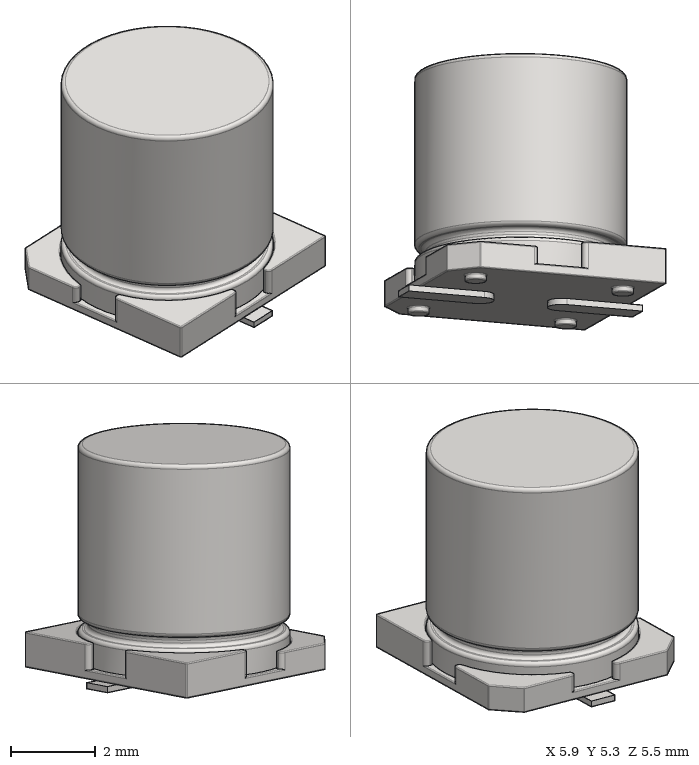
import cadquery as cq

lead_span = 5.9
base_width = 5.3
total_height = 5.5

can_radius = 5.0 / 2
can_top_fillet = 0.1
groove_radius = 4.5 / 2
groove_mid_z = 1.205
groove_flat = 0.07
groove_root_fillet = 0.1
groove_lip_fillet = 0.1

base_bottom_z = 0.15
floor_z = 0.365
pocket_radius = 2.52
low_corner_z = 0.785
high_corner_z = 1.0
corner_chamfer = 0.61
notch_width = 1.14
notch_outer_fillet = 0.11
notch_inner_fillet = 0.07
edge_fillet = 0.0265

lead_width = 0.67
lead_gap = 1.405
pin_diameter = 0.5
pin_offset = 1.86


def chamfered_square(bottom_z, top_z):
    """Base outline, with both corners on the -X side cut off and softened edges."""
    block = (
        cq.Workplane("XY")
        .workplane(offset=bottom_z)
        .rect(base_width, base_width)
        .extrude(top_z - bottom_z)
        .edges("|Z and <X")
        .chamfer(corner_chamfer)
    )
    return block.edges("|Z").fillet(edge_fillet)


def make_corner(x_side, y_side, top_z):
    """Corner block standing on the base floor and wrapping around the can."""
    corner_bottom_z = (base_bottom_z + floor_z) / 2
    half_notch = notch_width / 2
    block_size = base_width / 2 - half_notch
    block_center = half_notch + block_size / 2
    quadrant = (
        cq.Workplane("XY")
        .workplane(offset=corner_bottom_z)
        .center(x_side * block_center, y_side * block_center)
        .rect(block_size, block_size)
        .extrude(top_z - corner_bottom_z)
    )
    pocket = cq.Workplane("XY").circle(pocket_radius).extrude(top_z)
    block = chamfered_square(corner_bottom_z, top_z).intersect(quadrant).cut(pocket)

    outer = base_width / 2
    inner = (pocket_radius**2 - half_notch**2) ** 0.5
    for reach, radius in ((outer, notch_outer_fillet), (inner, notch_inner_fillet)):
        for x, y in ((half_notch, reach), (reach, half_notch)):
            edge_point = (x_side * x, y_side * y, (corner_bottom_z + top_z) / 2)
            block = block.edges(cq.selectors.NearestToPointSelector(edge_point)).fillet(radius)
    return block.faces(">Z").edges().fillet(edge_fillet)


def make_pins():
    return (
        cq.Workplane("XY")
        .rect(2 * pin_offset, 2 * pin_offset, forConstruction=True)
        .vertices()
        .circle(pin_diameter / 2)
        .extrude(base_bottom_z)
    )


def make_base():
    """Thin plate on four pins, with a block rising at each corner."""
    plate = chamfered_square(base_bottom_z, floor_z).union(make_pins())
    base = plate.edges("not |Z").fillet(edge_fillet)
    for x_side, top_z in ((-1, low_corner_z), (1, high_corner_z)):
        for y_side in (-1, 1):
            base = base.union(make_corner(x_side, y_side, top_z))
    return base


def make_can():
    """Solid of revolution with a rounded groove above its foot."""
    half_flat = groove_flat / 2
    half_root = half_flat + groove_root_fillet
    half_lip = half_root + groove_lip_fillet
    root_outer = groove_radius + groove_root_fillet
    lip_inner = can_radius - groove_lip_fillet
    return (
        cq.Workplane("XZ")
        .moveTo(0, base_bottom_z)
        .lineTo(can_radius, base_bottom_z)
        .lineTo(can_radius, groove_mid_z - half_lip)
        .tangentArcPoint((lip_inner, groove_mid_z - half_root), relative=False)
        .lineTo(root_outer, groove_mid_z - half_root)
        .tangentArcPoint((groove_radius, groove_mid_z - half_flat), relative=False)
        .lineTo(groove_radius, groove_mid_z + half_flat)
        .tangentArcPoint((root_outer, groove_mid_z + half_root), relative=False)
        .lineTo(lip_inner, groove_mid_z + half_root)
        .tangentArcPoint((can_radius, groove_mid_z + half_lip), relative=False)
        .lineTo(can_radius, total_height - can_top_fillet)
        .tangentArcPoint((can_radius - can_top_fillet, total_height), relative=False)
        .lineTo(0, total_height)
        .close()
        .revolve()
    )


def make_lead(x_side):
    """Flat strip with a full round at its inner end."""
    round_center = lead_gap / 2 + lead_width / 2
    straight = lead_span / 2 - round_center
    strip = (
        cq.Workplane("XY")
        .center(x_side * (round_center + straight / 2), 0)
        .rect(straight, lead_width)
        .extrude(base_bottom_z)
    )
    inner_end = (
        cq.Workplane("XY")
        .center(x_side * round_center, 0)
        .circle(lead_width / 2)
        .extrude(base_bottom_z)
    )
    return strip.union(inner_end)


result = make_base().union(make_can())
for side in (-1, 1):
    result = result.union(make_lead(side))